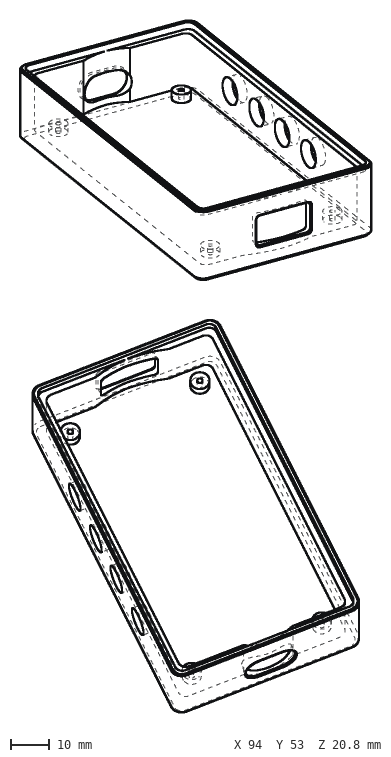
import cadquery as cq

LENGTH = 94.0
WIDTH = 53.0
HEIGHT = 20.8
CORNER_RADIUS = 3.0
BOTTOM_CHAMFER = 1.0
TOP_CHAMFER = 0.4

WALL = 3.0
FLOOR = 3.0
CAVITY_RADIUS = 2.0
RIM_WALL = 1.3
RIM_DEPTH = 2.0
RIM_RADIUS = 2.0

POST_DIAMETER = 5.0
POST_HEIGHT = 2.5
PILOT_DIAMETER = 1.4
POST_CENTRES = [(-38.9, 18.4), (38.7, 18.4), (-38.9, -18.5), (38.9, -18.4)]

BACK_HOLE_DIAMETER = 7.5
BACK_HOLE_XS = [-22.7, -9.0, 4.1, 17.6]
BACK_HOLE_Z = 11.2

RELIEF_FLAT = 1.0
RELIEF_MID_DEPTH = 0.7
LEFT_RELIEF_Y = -0.3
LEFT_RELIEF_ENDS = (6.0, -8.0)
RIGHT_RELIEF_Y = -0.6
RIGHT_RELIEF_ENDS = (9.1, -11.9)

MOUTH_ANGLE = 45.0

SLOT_LENGTH = 14.0
SLOT_HEIGHT = 7.5
SLOT_Y = -0.5
SLOT_Z = 8.8
SLOT_CHAMFER = 0.35

WINDOW_WIDTH = 16.1
WINDOW_HEIGHT = 8.7
WINDOW_RADIUS = 1.0
WINDOW_Y = -1.0
WINDOW_BOTTOM = 6.2
WINDOW_CHAMFER = 0.4


def rounded_block(inset, radius, bottom, top):
    """Upright block set in from the outer walls, with rounded vertical edges."""
    return (
        cq.Workplane("XY")
        .workplane(offset=bottom)
        .rect(LENGTH - 2 * inset, WIDTH - 2 * inset)
        .extrude(top - bottom)
        .edges("|Z")
        .fillet(radius)
    )


def shell():
    """Open-topped box with chamfered outer edges and a stepped rim."""
    body = rounded_block(0, CORNER_RADIUS, 0, HEIGHT)
    body = body.faces("<Z").chamfer(BOTTOM_CHAMFER)
    body = body.faces(">Z").chamfer(TOP_CHAMFER)
    cavity = rounded_block(WALL, CAVITY_RADIUS, FLOOR, HEIGHT)
    rim = rounded_block(RIM_WALL, RIM_RADIUS, HEIGHT - RIM_DEPTH, HEIGHT)
    return body.cut(cavity).cut(rim)


def end_relief(side, y_flat, ends):
    """Shallow scoop in an end wall: two arcs joined by a short flat; side is -1 or +1 along X."""
    y_high, y_low = ends
    flat_high = y_flat + RELIEF_FLAT / 2
    flat_low = y_flat - RELIEF_FLAT / 2
    x_wall = side * (LENGTH / 2 - WALL)
    x_deep = side * (LENGTH / 2 - RIM_WALL)
    x_arc = x_wall + (x_deep - x_wall) * RELIEF_MID_DEPTH
    return (
        cq.Workplane("XY")
        .workplane(offset=FLOOR)
        .moveTo(x_wall, y_high)
        .threePointArc((x_arc, (y_high + flat_high) / 2), (x_deep, flat_high))
        .lineTo(x_deep, flat_low)
        .threePointArc((x_arc, (y_low + flat_low) / 2), (x_wall, y_low))
        .close()
        .extrude(HEIGHT - RIM_DEPTH - FLOOR)
    )


def post(centre):
    """Screw post with a blind pilot hole reaching down to floor level."""
    return (
        cq.Workplane("XY")
        .workplane(offset=FLOOR)
        .center(*centre)
        .circle(POST_DIAMETER / 2)
        .circle(PILOT_DIAMETER / 2)
        .extrude(POST_HEIGHT)
    )


def back_hole(x):
    """Round cutter running through the back wall."""
    return (
        cq.Workplane("XZ", origin=(x, WIDTH / 2, BACK_HOLE_Z))
        .circle(BACK_HOLE_DIAMETER / 2)
        .extrude(WALL)
    )


def left_slot():
    """Slot cutter for the left wall, flared by a chamfer at the outside face."""
    outside = cq.Workplane("YZ", origin=(-LENGTH / 2, SLOT_Y, SLOT_Z))
    through = outside.slot2D(SLOT_LENGTH, SLOT_HEIGHT).extrude(WALL)
    mouth = outside.slot2D(SLOT_LENGTH + 2 * SLOT_CHAMFER, SLOT_HEIGHT + 2 * SLOT_CHAMFER)
    flare = mouth.extrude(SLOT_CHAMFER, taper=MOUTH_ANGLE)
    return through.union(flare)


def window_profile(plane, margin):
    """Rounded rectangle of the window, grown all round by a margin."""
    outline = cq.Sketch().rect(WINDOW_WIDTH + 2 * margin, WINDOW_HEIGHT + 2 * margin)
    return plane.placeSketch(outline.vertices().fillet(WINDOW_RADIUS + margin))


def right_window():
    """Window cutter for the right wall, flared by a chamfer at the outside face."""
    centre = (LENGTH / 2, WINDOW_Y, WINDOW_BOTTOM + WINDOW_HEIGHT / 2)
    outside = cq.Workplane(cq.Plane(origin=centre, xDir=(0, 1, 0), normal=(-1, 0, 0)))
    through = window_profile(outside, 0).extrude(WALL)
    flare = window_profile(outside, WINDOW_CHAMFER).extrude(WINDOW_CHAMFER, taper=MOUTH_ANGLE)
    return through.union(flare)


result = shell()
result = result.cut(end_relief(-1, LEFT_RELIEF_Y, LEFT_RELIEF_ENDS))
result = result.cut(end_relief(1, RIGHT_RELIEF_Y, RIGHT_RELIEF_ENDS))
for post_centre in POST_CENTRES:
    result = result.union(post(post_centre))
for hole_x in BACK_HOLE_XS:
    result = result.cut(back_hole(hole_x))
result = result.cut(left_slot())
result = result.cut(right_window())